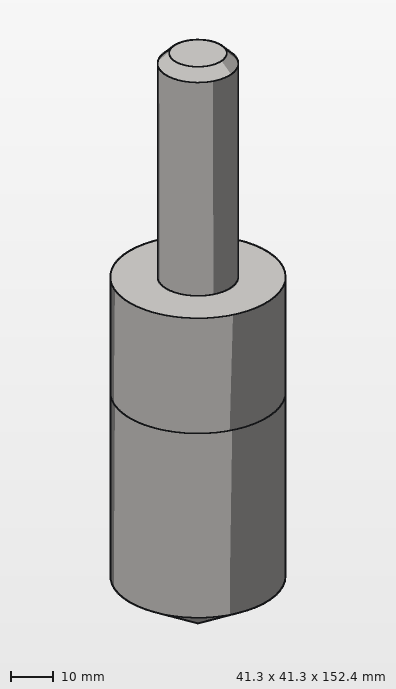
import cadquery as cq

total_length = 152.4
body_diameter = 41.3
shank_diameter = 19.0

cone_height = 12.6
joint_height = 61.9
shoulder_height = 92.7
shank_chamfer = 2.7

body_radius = body_diameter / 2
shank_radius = shank_diameter / 2


def make_tip():
    """Lower cylinder ending in a downward cone."""
    profile = [
        (0, 0),
        (body_radius, cone_height),
        (body_radius, joint_height),
        (0, joint_height),
    ]
    return cq.Workplane("XZ").polyline(profile).close().revolve(360, (0, 0), (0, 1))


def make_holder():
    """Upper cylinder with a narrower chamfered shank."""
    collar = (
        cq.Workplane("XY").workplane(offset=joint_height)
        .circle(body_radius).extrude(shoulder_height - joint_height)
    )
    shank = (
        cq.Workplane("XY").workplane(offset=shoulder_height)
        .circle(shank_radius).extrude(total_length - shoulder_height)
        .faces(">Z").chamfer(shank_chamfer)
    )
    return collar.union(shank)


tip = make_tip()
holder = make_holder()

result = cq.Compound.makeCompound([tip.val(), holder.val()])